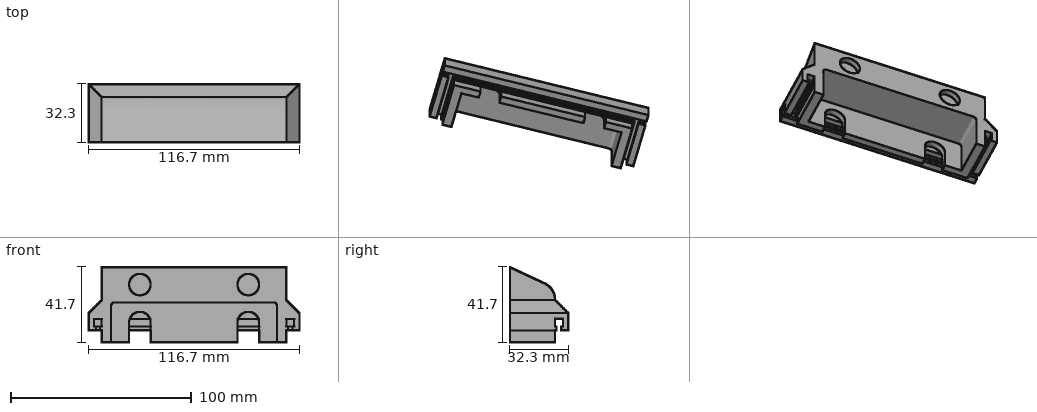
import cadquery as cq
import math

total_length = 116.7
height = 41.7
flange_width = 7.2
flange_bottom = 6.7
flange_shoulder = 16.2
body_half_length = total_length / 2 - flange_width
body_depth = 25.1
total_depth = body_depth + flange_width
flange_top = flange_shoulder + flange_width
roof_angle = math.radians(25)
roof_radius = 10.0

end_wall = 5.3
recess_height = 22.2
recess_depth = 21.2
recess_corner_radius = 2.0

hole_diameter = 11.9
hole_spacing = 60.0
hole_height = 32.0
hole_depth = 3.5
arch_center_height = 11.0

slot_width = 4.2
slot_height = 4.2
slot_lip = 2.2
neck_width = 2.5
neck_offset = 0.8
slot_top = flange_bottom + slot_lip + slot_height


def make_body():
    """Cross the front and end outlines, which miters the flange at its rear corners."""
    half_length = total_length / 2
    front_outline = (
        cq.Workplane("XZ")
        .polyline([
            (-body_half_length, 0),
            (body_half_length, 0),
            (body_half_length, flange_bottom),
            (half_length, flange_bottom),
            (half_length, flange_shoulder),
            (body_half_length, flange_top),
            (body_half_length, height),
            (-body_half_length, height),
            (-body_half_length, flange_top),
            (-half_length, flange_shoulder),
            (-half_length, flange_bottom),
            (-body_half_length, flange_bottom),
        ])
        .close()
        .extrude(-total_depth)
    )

    roof_corner = height - body_depth * math.tan(roof_angle)
    tangent_length = roof_radius * math.tan((math.pi / 2 - roof_angle) / 2)
    arc_start_height = roof_corner - tangent_length
    arc_end = (
        body_depth - tangent_length * math.cos(roof_angle),
        roof_corner + tangent_length * math.sin(roof_angle),
    )
    end_outline = (
        cq.Workplane("YZ")
        .moveTo(0, 0)
        .lineTo(body_depth, 0)
        .lineTo(body_depth, flange_bottom)
        .lineTo(total_depth, flange_bottom)
        .lineTo(total_depth, flange_shoulder)
        .lineTo(body_depth, flange_top)
        .lineTo(body_depth, arc_start_height)
        .tangentArcPoint(arc_end, relative=False)
        .lineTo(0, height)
        .close()
        .extrude(half_length, both=True)
    )
    return front_outline.intersect(end_outline)


def box_between(x_range, y_range, z_range):
    """Box filling the given (low, high) range along each axis."""
    lows, highs = zip(x_range, y_range, z_range)
    sizes = [high - low for low, high in zip(lows, highs)]
    return cq.Workplane("XY").box(*sizes, centered=False).translate(lows)


def make_recess():
    half_length = body_half_length - end_wall
    recess = box_between((-half_length, half_length), (0, recess_depth), (0, recess_height))
    return recess.edges("|Y and >Z").fillet(recess_corner_radius)


def make_round_hole(x):
    return cq.Workplane("XZ").center(x, hole_height).circle(hole_diameter / 2).extrude(-hole_depth)


def make_arch(x):
    """Round-topped opening through the rear wall, reaching the rear slot."""
    radius = hole_diameter / 2
    return (
        cq.Workplane("XZ")
        .moveTo(x - radius, 0)
        .lineTo(x + radius, 0)
        .lineTo(x + radius, arch_center_height)
        .threePointArc((x, arch_center_height + radius), (x - radius, arch_center_height))
        .close()
        .extrude(-body_depth)
    )


def make_rear_slot():
    """T-slot along the rear flange, open at both ends."""
    x_range = (-total_length / 2, total_length / 2)
    neck_start = body_depth + neck_offset
    channel = box_between(
        x_range, (body_depth, body_depth + slot_width), (slot_top - slot_height, slot_top)
    )
    neck = box_between(x_range, (neck_start, neck_start + neck_width), (flange_bottom, slot_top))
    return channel.union(neck)


def make_end_slot():
    """T-slot along the +X flange, from the front face into the rear slot."""
    neck_start = body_half_length + neck_offset
    channel = box_between(
        (body_half_length, body_half_length + slot_width),
        (0, body_depth + slot_width),
        (slot_top - slot_height, slot_top),
    )
    neck = box_between(
        (neck_start, neck_start + neck_width),
        (0, body_depth + neck_offset + neck_width),
        (flange_bottom, slot_top),
    )
    return channel.union(neck)


result = make_body().cut(make_recess())
for hole_x in (-hole_spacing / 2, hole_spacing / 2):
    result = result.cut(make_round_hole(hole_x)).cut(make_arch(hole_x))

end_slot = make_end_slot()
result = result.cut(make_rear_slot()).cut(end_slot).cut(end_slot.mirror("YZ"))